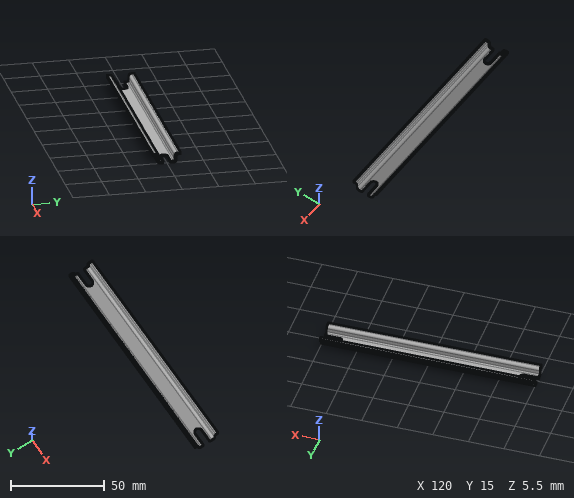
import cadquery as cq

length = 120.0
width = 15.0
height = 5.5

thickness = 1.0
bend_inner_radius = 0.7
bend_outer_radius = bend_inner_radius + thickness
channel_outer_width = 10.5

slot_width = 4.1
slot_depth = 10.0


def make_rail():
    """Bent-sheet hat section: floor, two walls and two outward flanges."""
    wall_outer = channel_outer_width / 2
    wall_inner = wall_outer - thickness
    channel = (
        cq.Workplane("YZ")
        .rect(channel_outer_width, height)
        .extrude(length / 2, both=True)
        .edges("|X and <Z")
        .fillet(bend_outer_radius)
    )
    cavity = (
        cq.Workplane("YZ")
        .center(0, thickness)
        .rect(2 * wall_inner, height)
        .extrude(length / 2, both=True)
        .edges("|X and <Z")
        .fillet(bend_inner_radius)
    )
    rail = channel.cut(cavity)

    top = height / 2
    bend_center_z = top - bend_outer_radius
    bend_end_y = wall_outer + bend_inner_radius
    flange = (
        cq.Workplane("YZ")
        .moveTo(width / 2, top)
        .lineTo(bend_end_y, top)
        .radiusArc((wall_inner, bend_center_z), -bend_outer_radius)
        .lineTo(wall_outer, bend_center_z)
        .radiusArc((bend_end_y, top - thickness), bend_inner_radius)
        .lineTo(width / 2, top - thickness)
        .close()
        .extrude(length / 2, both=True)
    )
    wall_tops = cq.Workplane("XY").box(length, channel_outer_width, bend_outer_radius)
    rail = rail.cut(wall_tops.translate((0, 0, top - bend_outer_radius / 2)))
    return rail.union(flange).union(flange.mirror("XZ"))


def make_end_slots():
    """Round-ended cutters centred on the rail ends."""
    return (
        cq.Workplane("XY")
        .workplane(offset=-height / 2)
        .pushPoints([(-length / 2, 0), (length / 2, 0)])
        .slot2D(2 * slot_depth, slot_width)
        .extrude(thickness)
    )


result = make_rail().cut(make_end_slots())